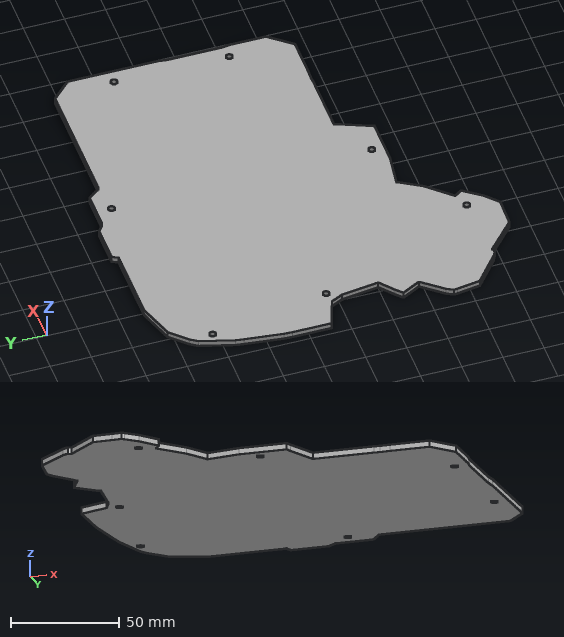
import cadquery as cq

length = 193.0
width = 181.8
thickness = 3.0
hole_diameter = 3.0

left_edge_bottom = 99.5
left_edge_top = 118.7
upper_left_edge_y = 178.9
upper_right_edge_y = 173.0
lower_right_edge_y = 56.4
lower_middle_edge_y = 39.0

top_corner_cut = 9.0
bottom_corner_cut_x = 9.0
bottom_corner_cut_y = 11.2
side_relief_depth = 0.5
bottom_relief_depth = 0.2

top_edge = [
    (0, left_edge_top),
    (0.2, 122.7),
    (2.5, 141.5),
    (3.0, 145.3),
    (8.0, 161.7),
    (10.2, 165.2),
    (18.1, 173.3),
    (35.5, upper_left_edge_y),
    (73.0, upper_left_edge_y),
    (74.3, width),
    (92.6, width),
    (96.9, upper_left_edge_y),
    (115.5, upper_left_edge_y),
    (120.0, upper_right_edge_y),
]

right_edge = [
    (length - top_corner_cut, upper_right_edge_y),
    (length, upper_right_edge_y - top_corner_cut),
    (length, 120.2),
    (length - side_relief_depth, 116.0),
    (length - side_relief_depth, 89.0),
    (length, 85.3),
    (length, lower_right_edge_y + bottom_corner_cut_y),
    (length - bottom_corner_cut_x, lower_right_edge_y),
]

bottom_edge = [
    (164.6, lower_right_edge_y),
    (159.8, lower_right_edge_y + bottom_relief_depth),
    (156.9, lower_right_edge_y),
    (127.2, lower_right_edge_y),
    (121.2, 41.9),
    (120.2, lower_middle_edge_y),
    (97.0, lower_middle_edge_y),
    (81.0, 41.3),
]

lobe_edge = [
    (74.5, 30.3),
    (63.7, 18.5),
    (66.2, 14.9),
    (59.6, 6.0),
    (54.2, 1.0),
    (53.0, 0),
    (48.5, 0.2),
    (39.0, 0.4),
    (24.1, 13.7),
    (22.5, 13.0),
    (19.9, 14.3),
    (5.6, 25.9),
    (3.9, 37.2),
    (3.7, 39.0),
    (5.5, 42.3),
    (13.9, 52.7),
    (9.0, 61.8),
    (12.4, 64.8),
    (19.3, 70.6),
    (16.8, 89.0),
    (13.9, 95.0),
    (0, left_edge_bottom),
]

hole_centers = [
    (10.5, 154.0),
    (19.9, 95.7),
    (56.2, 15.5),
    (105.4, 171.5),
    (105.4, 45.2),
    (186.0, 143.5),
    (185.5, 87.8),
]

outline = top_edge + right_edge + bottom_edge + lobe_edge
plate = cq.Workplane("XY").polyline(outline).close().extrude(thickness)

holes = cq.Workplane("XY").pushPoints(hole_centers).circle(hole_diameter / 2).extrude(thickness)

result = plate.cut(holes)